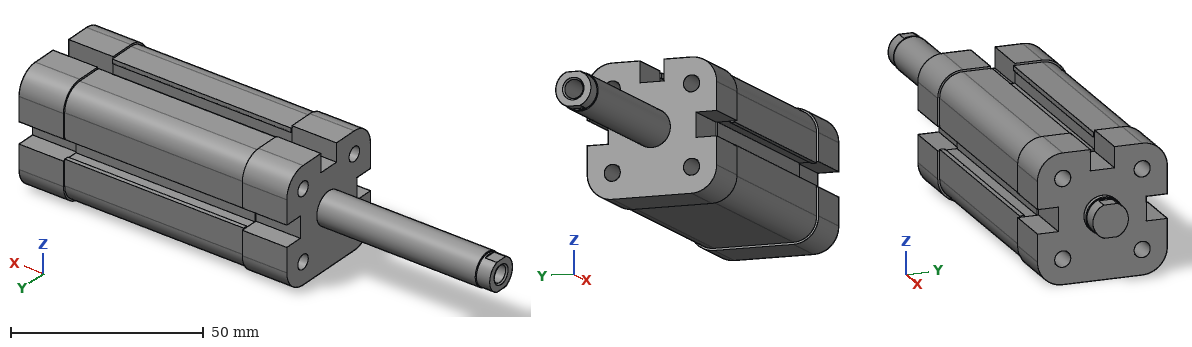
import cadquery as cq


rod_length = 149.0
front_cap_start = 56.0
cap_length = 14.5
body_length = 87.0
tube_start = front_cap_start + cap_length
tube_length = body_length - 2 * cap_length
rear_cap_start = tube_start + tube_length

cap_width = 36.0
tube_inset = 0.55
tube_width = cap_width - 2 * tube_inset
tie_hole_offset = 11.0
tie_hole_diameter = 4.5

slot_width = 6.7
cap_slot_floor = 12.2
tube_slot_floor = 12.7
lip_gap = 6.0
lip_thickness = 1.3
slot_angles = (0, 90, -90)

rod_diameter = 10.3
tip_diameter = 9.8
tip_length = 4.3
tip_cone_length = (rod_diameter - tip_diameter) / 2
flat_length = 3.7
flat_spacing = 9.1
bore_diameter = 5.0
bore_depth = 13.4
bore_cone_length = bore_diameter / 4
bore_mouth_diameter = 6.0


def square_bar(start, length, width):
    """Bar along X with rounded corners concentric with the tie holes."""
    corner_radius = width / 2 - tie_hole_offset
    return (
        cq.Workplane("YZ", origin=(start, 0, 0))
        .rect(width, width)
        .extrude(length)
        .edges("|X")
        .fillet(corner_radius)
    )


def drill_holes(bar, start, length):
    """Cut the rod hole and the four tie holes along the whole bar."""
    plane = cq.Workplane("YZ", origin=(start, 0, 0))
    rod_hole = plane.circle(rod_diameter / 2).extrude(length)
    tie_holes = (
        plane.rect(2 * tie_hole_offset, 2 * tie_hole_offset, forConstruction=True)
        .vertices()
        .circle(tie_hole_diameter / 2)
        .extrude(length)
    )
    return bar.cut(rod_hole).cut(tie_holes)


def cut_slots(bar, start, length, width, floor, top):
    """Cut a channel between the heights floor and top on each slotted face."""
    channel = cq.Workplane("XY").box(length, width, top - floor, centered=(False, True, False))
    channel = channel.translate((start, 0, floor))
    for angle in slot_angles:
        bar = bar.cut(channel.rotate((0, 0, 0), (1, 0, 0), angle))
    return bar


def make_cap(start):
    cap = square_bar(start, cap_length, cap_width)
    cap = drill_holes(cap, start, cap_length)
    return cut_slots(cap, start, cap_length, slot_width, cap_slot_floor, cap_width / 2)


def make_tube():
    tube = square_bar(tube_start, tube_length, tube_width)
    tube = drill_holes(tube, tube_start, tube_length)
    tube_top = tube_width / 2
    lip_underside = tube_top - lip_thickness
    tube = cut_slots(tube, tube_start, tube_length, slot_width, tube_slot_floor, lip_underside)
    return cut_slots(tube, tube_start, tube_length, lip_gap, lip_underside, tube_top)


def make_rod():
    """Through rod with a stepped tip at each end and a blind bore in the front end."""
    rod_radius = rod_diameter / 2
    tip_radius = tip_diameter / 2
    step = tip_length + tip_cone_length
    rod = (
        cq.Workplane("XZ")
        .moveTo(0, 0)
        .lineTo(0, tip_radius)
        .lineTo(tip_length, tip_radius)
        .lineTo(step, rod_radius)
        .lineTo(rod_length - step, rod_radius)
        .lineTo(rod_length - tip_length, tip_radius)
        .lineTo(rod_length, tip_radius)
        .lineTo(rod_length, 0)
        .close()
        .revolve(360, (0, 0, 0), (1, 0, 0))
    )

    flat_cut = cq.Workplane("XY").box(
        flat_length, rod_diameter, rod_diameter, centered=(False, True, False)
    )
    for start in (0, rod_length - flat_length):
        rod = rod.cut(flat_cut.translate((start, 0, flat_spacing / 2)))
        rod = rod.cut(flat_cut.translate((start, 0, -flat_spacing / 2 - rod_diameter)))

    bore_radius = bore_diameter / 2
    mouth_radius = bore_mouth_diameter / 2
    bore = (
        cq.Workplane("XZ")
        .moveTo(0, 0)
        .lineTo(0, mouth_radius)
        .lineTo(mouth_radius - bore_radius, bore_radius)
        .lineTo(bore_depth, bore_radius)
        .lineTo(bore_depth + bore_cone_length, 0)
        .close()
        .revolve(360, (0, 0, 0), (1, 0, 0))
    )
    return rod.cut(bore)


front_cap = make_cap(front_cap_start)
rear_cap = make_cap(rear_cap_start)
tube = make_tube()
rod = make_rod()

result = cq.Compound.makeCompound([front_cap.val(), tube.val(), rear_cap.val(), rod.val()])